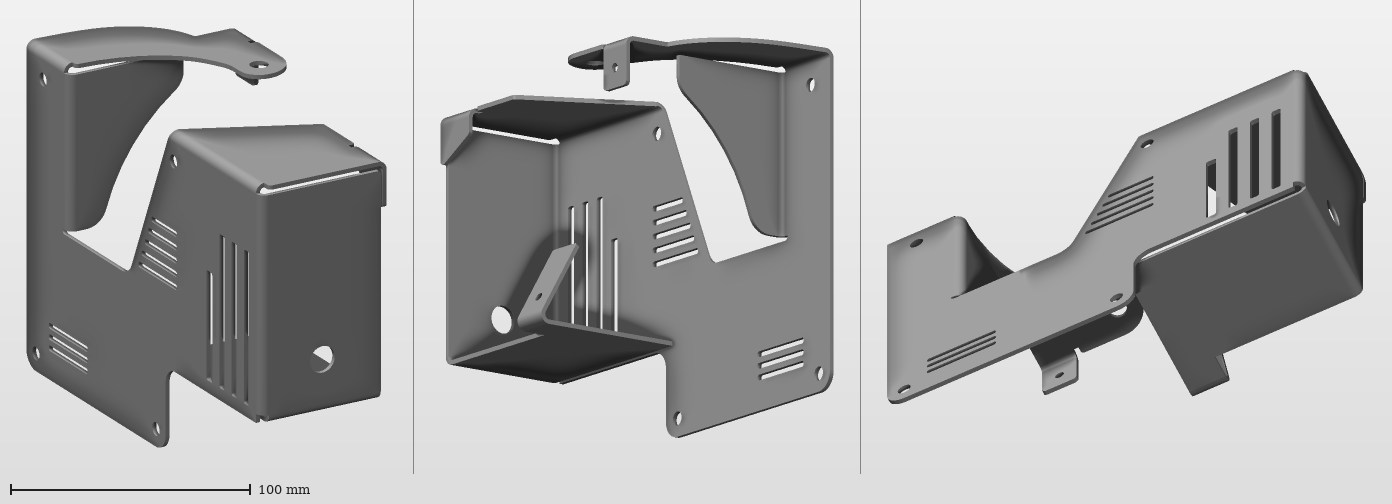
import cadquery as cq
import math

width = 192.5
depth = 84.3
height = 146.0
sheet = 2.0
bend_inside = 2.1
bend_outside = bend_inside + sheet
edge_round = 1.3
corner_round = 2.0

foot_width = 114.3
step_height = 38.9
foot_radius = 7.9
arm_width = 35.0
notch_floor = 69.5
notch_radius = 8.9
side_relief = 2.0
relief_overcut = 1.3
relief_radius = 1.7
slant = math.radians(24)
slant_foot_x = 84.1
bend_top = height - bend_outside
wall_bend_x = width - bend_outside
arm_bend_x = arm_width - bend_outside
arm_flange_foot = notch_floor + side_relief

screw_hole = 6.0
upper_hole_z = 133.0
screw_holes = [
    (foot_radius, foot_radius),
    (foot_width - foot_radius, foot_radius),
    (13.7, upper_hole_z),
    (120.7, upper_hole_z),
]

slot_height = 2.5
slot_corner = 1.0
foot_slot_left = 18.5
foot_slot_right = 50.5
foot_slot_z = 14.2
foot_slot_pitch = 5.0
foot_slot_count = 3

slant_slot_left = 92.0
slant_slot_right = 123.5
slant_slot_z = 77.2
slant_slot_pitch = 6.0
slant_slot_count = 5

tall_slot_width = 4.0
tall_slot_x = 160.5
tall_slot_pitch = 10.0
tall_slot_count = 3
tall_slot_foot = 44.5
tall_slot_top = 113.5
short_slot_x = 150.3
short_slot_width = 4.6
short_slot_top = 93.7

arm_flange_depth = 55.6
arm_flange_radius = 10.0
arm_curve_y = 103.0
arm_curve_z = 52.7
arm_curve_radius = 88.7

hook_curve_x = 73.1
hook_curve_width = 39.3
hook_hole = 8.0
hook_hole_x = 72.8
hook_hole_y = 69.9
nose_y = 68.5
nose_outer_radius = 13.9
nose_inner_radius = 9.2
nose_tip_x = 84.1

left_tab_foot = 124.7
left_tab_x = 31.8
left_tab_right = 47.7
left_tab_hole = 4.0
left_tab_hole_x = 39.8
left_tab_hole_z = 133.4
hook_outer_curve = [(left_tab_x, 63.0), (13.0, 51.8), (4.0, 35.8), (1.2, 21.2)]
tab_notch_width = 2.5
tab_notch_depth = 3.3

box_depth = 58.1
wall_hole = 12.0
wall_hole_y = 29.8
wall_hole_z = 62.8
right_tab_x = 172.5
right_tab_depth = 61.0
roof_slant = math.radians(25)
right_tab_high_foot = 134.5
right_tab_low_foot = 123.4

floor_x = 107.0
clip_right = 123.8
clip_bend_y = 68.1
clip_bend_angle = 120
clip_length = 35.8
clip_hole = 4.0
clip_hole_distance = 8.5


def slant_x(z):
    """X of the slanted plate edge at height z."""
    return slant_foot_x + (z - notch_floor) * math.tan(slant)


def block(x0, x1, y0, y1, z0, z1):
    return cq.Workplane("XY").box(x1 - x0, y1 - y0, z1 - z0, centered=False).translate((x0, y0, z0))


def bend(plane, center, start_angle, sweep, start, end):
    """Curved strip of sheet around a bend axis normal to the plane, from offset start to end."""
    def on_circle(radius, angle):
        turn = math.radians(angle)
        return (center[0] + radius * math.cos(turn), center[1] + radius * math.sin(turn))

    middle = start_angle + sweep / 2
    last = start_angle + sweep
    return (
        cq.Workplane(plane)
        .workplane(offset=start)
        .moveTo(*on_circle(bend_outside, start_angle))
        .threePointArc(on_circle(bend_outside, middle), on_circle(bend_outside, last))
        .lineTo(*on_circle(bend_inside, last))
        .threePointArc(on_circle(bend_inside, middle), on_circle(bend_inside, start_angle))
        .close()
        .extrude(end - start)
    )


def slot_cutter(x, z, size_x, size_z):
    """Slot with rounded corners through the front plate, centred on (x, z)."""
    slot = cq.Workplane("XZ").center(x, z).rect(size_x, size_z).extrude(-sheet)
    return slot.edges("|Y").fillet(slot_corner)


def level_slot(left, right, z):
    return slot_cutter((left + right) / 2, z, right - left, slot_height)


def upright_slot(x, top, slot_width):
    return slot_cutter(x, (tall_slot_foot + top) / 2, slot_width, top - tall_slot_foot)


def front_plate():
    relief_x = arm_bend_x - relief_overcut
    plate = (
        cq.Workplane("XZ")
        .polyline([
            (0, 0), (foot_width, 0), (foot_width, step_height), (wall_bend_x, step_height),
            (wall_bend_x, bend_top), (slant_x(bend_top), bend_top), (slant_foot_x, notch_floor),
            (relief_x, notch_floor), (relief_x, arm_flange_foot), (arm_bend_x, arm_flange_foot),
            (arm_bend_x, bend_top), (0, bend_top),
        ])
        .close()
        .extrude(-sheet)
    )

    def round_corner(body, x, z, radius):
        corner = cq.selectors.NearestToPointSelector((x, sheet / 2, z))
        return body.edges("|Y").edges(corner).fillet(radius)

    for x, z in [(0, 0), (foot_width, 0), (foot_width, step_height)]:
        plate = round_corner(plate, x, z, foot_radius)
    plate = round_corner(plate, slant_foot_x, notch_floor, notch_radius)
    plate = round_corner(plate, relief_x, notch_floor, relief_radius)

    plate = plate.cut(cq.Workplane("XZ").pushPoints(screw_holes).circle(screw_hole / 2).extrude(-sheet))
    for i in range(foot_slot_count):
        plate = plate.cut(level_slot(foot_slot_left, foot_slot_right, foot_slot_z + i * foot_slot_pitch))
    for i in range(slant_slot_count):
        rise = i * slant_slot_pitch
        left = slant_slot_left + rise * math.tan(slant)
        plate = plate.cut(level_slot(left, slant_slot_right, slant_slot_z + rise))
    for i in range(tall_slot_count):
        plate = plate.cut(upright_slot(tall_slot_x + i * tall_slot_pitch, tall_slot_top, tall_slot_width))
    return plate.cut(upright_slot(short_slot_x, short_slot_top, short_slot_width))


def arm_side_flange():
    """Flange folded back along the inner edge of the left arm, with a curved free edge."""
    curve_top = arm_curve_z + math.sqrt(arm_curve_radius**2 - (arm_curve_y - arm_flange_depth) ** 2)
    curve_foot = arm_curve_y - math.sqrt(arm_curve_radius**2 - (arm_flange_foot - arm_curve_z) ** 2)
    curve_mid_y = (curve_foot + arm_flange_depth) / 2
    curve_mid_z = arm_curve_z + math.sqrt(arm_curve_radius**2 - (arm_curve_y - curve_mid_y) ** 2)
    flange = (
        cq.Workplane("YZ")
        .workplane(offset=arm_width - sheet)
        .moveTo(bend_outside, arm_flange_foot)
        .lineTo(curve_foot, arm_flange_foot)
        .threePointArc((curve_mid_y, curve_mid_z), (arm_flange_depth, curve_top))
        .lineTo(arm_flange_depth, bend_top)
        .lineTo(bend_outside, bend_top)
        .close()
        .extrude(sheet)
    )
    for y, z in [(curve_foot, arm_flange_foot), (arm_flange_depth, curve_top)]:
        corner = cq.selectors.NearestToPointSelector((arm_width - sheet / 2, y, z))
        flange = flange.edges("|X").edges(corner).fillet(arm_flange_radius)
    fold = bend("XY", (arm_bend_x, bend_outside), -90, 90, arm_flange_foot, bend_top)
    return flange.union(fold)


def arm_hook():
    """Curved top flange of the left arm, ending in a rounded nose with a hole."""
    back = depth - sheet
    notch_right = left_tab_right + tab_notch_width
    notch_y = back - tab_notch_depth
    tab_bend_y = depth - bend_outside
    outer_x = nose_tip_x - nose_outer_radius
    inner_x = nose_tip_x - nose_inner_radius
    diagonal = math.sqrt(0.5)
    curve_height = nose_y - nose_inner_radius - bend_outside

    def inner_curve(angle):
        """Point on the quarter ellipse that bounds the hook on its inner side."""
        turn = math.radians(angle)
        return (
            hook_curve_x - hook_curve_width * math.cos(turn),
            bend_outside + curve_height * math.sin(turn),
        )

    hook = (
        cq.Workplane("XY")
        .workplane(offset=height - sheet)
        .spline([inner_curve(angle) for angle in range(0, 91, 15)], tangents=[(0, 1), (1, 0)])
        .lineTo(inner_x, nose_y - nose_inner_radius)
        .threePointArc(
            (inner_x + nose_inner_radius * diagonal, nose_y - nose_inner_radius * diagonal),
            (nose_tip_x, nose_y),
        )
        .threePointArc(
            (outer_x + nose_outer_radius * diagonal, nose_y + nose_outer_radius * diagonal),
            (outer_x, back),
        )
        .lineTo(notch_right + edge_round, back)
        .radiusArc((notch_right, back - edge_round), -edge_round)
        .lineTo(notch_right, notch_y)
        .lineTo(left_tab_right, notch_y)
        .lineTo(left_tab_right, tab_bend_y)
        .lineTo(left_tab_x, tab_bend_y)
        .lineTo(*hook_outer_curve[0])
        .spline(hook_outer_curve[1:] + [(0, bend_outside)], includeCurrent=True)
        .close()
        .extrude(sheet)
    )
    root = cq.selectors.NearestToPointSelector((*inner_curve(0), height - sheet / 2))
    hook = hook.edges("|Z").edges(root).fillet(corner_round)
    hook = hook.cut(
        cq.Workplane("XY")
        .workplane(offset=height - sheet)
        .center(hook_hole_x, hook_hole_y)
        .circle(hook_hole / 2)
        .extrude(sheet)
    )
    return hook.union(bend("YZ", (bend_outside, bend_top), 90, 90, 0, arm_bend_x))


def left_tab():
    tab = block(left_tab_x, left_tab_right, depth - sheet, depth, left_tab_foot, bend_top)
    tab = tab.edges("|Y and <Z").fillet(corner_round)
    tab = tab.cut(
        cq.Workplane("XZ")
        .center(left_tab_hole_x, left_tab_hole_z)
        .circle(left_tab_hole / 2)
        .extrude(-depth)
    )
    return tab.union(bend("YZ", (depth - bend_outside, bend_top), 0, 90, left_tab_x, left_tab_right))


def box_roof():
    """Top flange of the right side; its left edge is slanted too."""
    back = right_tab_depth - sheet
    notch_left = right_tab_x - tab_notch_width
    notch_y = back - tab_notch_depth
    tab_bend_y = right_tab_depth - bend_outside
    slant_start = slant_x(height)
    slant_end = slant_start + (back - bend_outside) * math.tan(roof_slant)
    roof = (
        cq.Workplane("XY")
        .workplane(offset=height - sheet)
        .polyline([
            (slant_start, bend_outside), (width, bend_outside), (width, tab_bend_y),
            (right_tab_x, tab_bend_y), (right_tab_x, notch_y), (notch_left, notch_y),
            (notch_left, back), (slant_end, back),
        ])
        .close()
        .extrude(sheet)
    )
    roof = roof.edges("|Z and >X and <Y").fillet(corner_round)
    for x in (notch_left, slant_end):
        corner = cq.selectors.NearestToPointSelector((x, back, height - sheet / 2))
        roof = roof.edges("|Z").edges(corner).fillet(edge_round)

    slant_foot = slant_x(bend_top)
    fold = bend("YZ", (bend_outside, bend_top), 90, 90, slant_foot, wall_bend_x)
    fold_trim = (
        cq.Workplane("XZ")
        .polyline([(slant_foot, bend_top), (slant_start, height), (slant_foot, height)])
        .close()
        .extrude(-bend_outside)
    )
    return roof.union(fold.cut(fold_trim))


def right_tab():
    """Tab folded down from the roof, with a sloping lower edge."""
    tab = (
        cq.Workplane("XZ", origin=(0, right_tab_depth, 0))
        .polyline([
            (right_tab_x, bend_top), (right_tab_x, right_tab_high_foot),
            (width, right_tab_low_foot), (width, bend_top),
        ])
        .close()
        .extrude(sheet)
    )
    for x, z in [(right_tab_x, right_tab_high_foot), (width, right_tab_low_foot)]:
        corner = cq.selectors.NearestToPointSelector((x, right_tab_depth - sheet / 2, z))
        tab = tab.edges("|Y").edges(corner).fillet(corner_round)
    return tab.union(bend("YZ", (right_tab_depth - bend_outside, bend_top), 0, 90, right_tab_x, width))


def right_wall():
    foot = step_height + bend_outside
    wall = block(width - sheet, width, bend_outside, box_depth, foot, bend_top)
    wall = wall.edges("|X and >Y and >Z").fillet(edge_round)
    wall = wall.cut(
        cq.Workplane("YZ").center(wall_hole_y, wall_hole_z).circle(wall_hole / 2).extrude(width)
    )
    return wall.union(bend("XY", (wall_bend_x, bend_outside), -90, 90, foot, bend_top))


def box_floor():
    """Floor folded from the right wall, with a spring clip folded up at its back left corner."""
    floor = block(floor_x, wall_bend_x, bend_outside, box_depth, step_height, step_height + sheet)
    bend_z = step_height + bend_outside
    wall_fold = bend("XZ", (wall_bend_x, bend_z), -90, 90, -box_depth, -bend_outside)
    arm = block(floor_x, clip_right, bend_outside, clip_bend_y, step_height, step_height + sheet)
    clip_fold = bend("YZ", (clip_bend_y, bend_z), -90, clip_bend_angle, floor_x, clip_right)
    clip = block(floor_x, clip_right, 0, clip_length, -bend_outside, -bend_inside)
    clip = clip.edges("|Z and >Y").fillet(edge_round)
    clip = clip.cut(
        cq.Workplane("XY")
        .center((floor_x + clip_right) / 2, clip_hole_distance)
        .circle(clip_hole / 2)
        .extrude(-bend_outside)
    )
    clip = clip.rotate((0, 0, 0), (1, 0, 0), clip_bend_angle).translate((0, clip_bend_y, bend_z))
    return floor.union(wall_fold).union(arm).union(clip_fold).union(clip)


result = front_plate()
for piece in (arm_side_flange(), arm_hook(), left_tab(), box_roof(), right_tab(), right_wall(), box_floor()):
    result = result.union(piece)